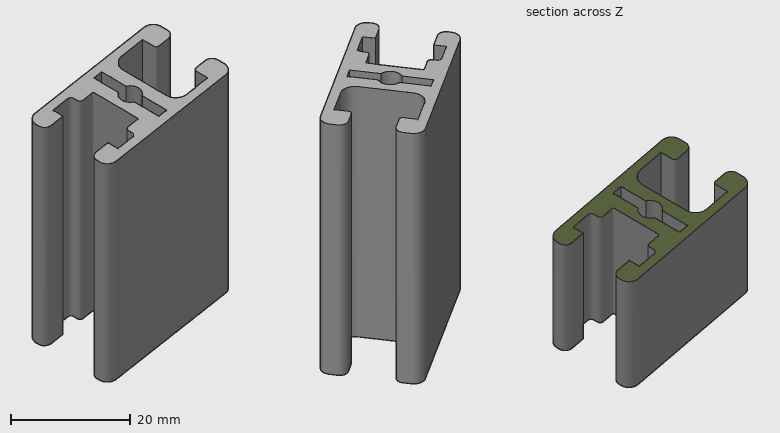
import cadquery as cq

width = 18
depth = 32
length = 50
wall = 1.8
outer_radius = 2
lip_tip_radius = 1.5
lip_thickness = 4.5
web_half_thickness = 3.7

back_mouth_width = 8.2
back_floor_radius = 2.5
back_lip_inner_radius = 0.6

front_mouth_width = 10
shoulder_y = -7
shoulder_radius = 0.7
front_cavity_radius = 0.7
front_floor_radius = 0.25

web_slot_height = 2
web_hole_diameter = 4.1

cavity_width = width - 2 * wall
back_lip_y = depth / 2 - lip_thickness
front_lip_y = -back_lip_y


def prism(size_x, y_min, y_max):
    """Full-length box centred on X, spanning the given Y range."""
    size_y = y_max - y_min
    return (
        cq.Workplane("XY")
        .center(0, (y_min + y_max) / 2)
        .rect(size_x, size_y)
        .extrude(length)
    )


def fillet_pair(body, x, y, radius):
    """Round the two mirrored lengthwise edges at (+x, y) and (-x, y)."""
    middle = length / 2
    edges = body.edges(cq.NearestToPointSelector((x, y, middle)))
    edges = edges.add(body.edges(cq.NearestToPointSelector((-x, y, middle))))
    return edges.fillet(radius)


def back_slot():
    cavity = prism(cavity_width, web_half_thickness, back_lip_y)
    cavity = cavity.edges("|Z and <Y").fillet(back_floor_radius)
    return cavity.union(prism(back_mouth_width, web_half_thickness + back_floor_radius, depth / 2))


def front_slot():
    cavity = prism(cavity_width, front_lip_y, shoulder_y)
    cavity = cavity.edges("|Z and >Y").fillet(front_cavity_radius)
    channel = prism(front_mouth_width, -depth / 2, -web_half_thickness)
    channel = channel.edges("|Z and >Y").fillet(front_floor_radius)
    return cavity.union(channel)


def web_hollow():
    slot = prism(cavity_width, -web_slot_height / 2, web_slot_height / 2)
    hole = cq.Workplane("XY").circle(web_hole_diameter / 2).extrude(length)
    return slot.union(hole)


body = prism(width, -depth / 2, depth / 2).edges("|Z").fillet(outer_radius)
body = body.cut(back_slot()).cut(front_slot()).cut(web_hollow())

body = fillet_pair(body, back_mouth_width / 2, depth / 2, lip_tip_radius)
body = fillet_pair(body, back_mouth_width / 2, back_lip_y, back_lip_inner_radius)
body = fillet_pair(body, front_mouth_width / 2, -depth / 2, lip_tip_radius)
body = fillet_pair(body, front_mouth_width / 2, shoulder_y, shoulder_radius)

result = body.translate((0, 0, -length / 2))